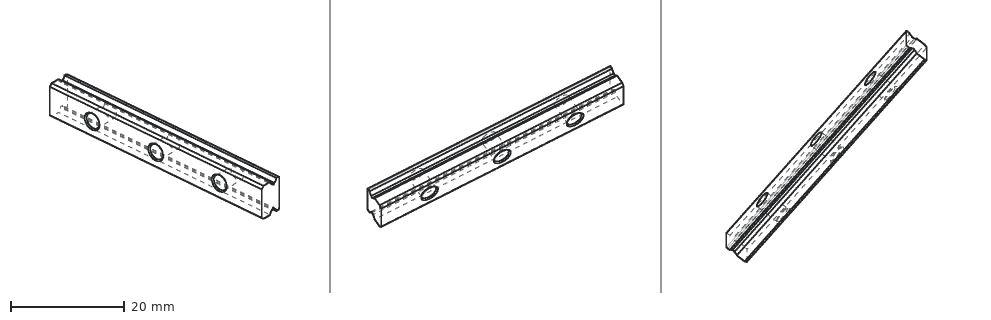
import cadquery as cq

rail_length = 50.0
rail_height = 4.7
rail_width = 7.0

crown_fillet = 0.3
base_chamfer = 0.5

raceway_radius = 0.8
raceway_from_crown = 1.6
relief_radius = 0.25
relief_depth = 1.05

hole_count = 3
hole_pitch = 15.0
hole_diameter = 3.0
countersink_diameter = 3.5
countersink_depth = (countersink_diameter - hole_diameter) / 2

base_y = -rail_height / 2
flank_z = rail_width / 2
raceway_y = rail_height / 2 - raceway_from_crown


def rail_body():
    """Solid bar centred on the origin, with its long edges rounded or chamfered."""
    return (
        cq.Workplane("XY")
        .box(rail_length, rail_height, rail_width)
        .edges("|X and >Y")
        .fillet(crown_fillet)
        .edges("|X and <Y")
        .chamfer(base_chamfer)
    )


def raceway_cutter(side):
    """Round ball groove with a small round relief at its bottom; side is +1 or -1 along Z."""
    relief_z = flank_z - relief_depth + relief_radius
    groove = (
        cq.Workplane("YZ")
        .center(raceway_y, side * flank_z)
        .circle(raceway_radius)
        .extrude(rail_length / 2, both=True)
    )
    relief = (
        cq.Workplane("YZ")
        .center(raceway_y, side * relief_z)
        .circle(relief_radius)
        .extrude(rail_length / 2, both=True)
    )
    return groove.union(relief)


def mounting_hole_cutter(x):
    """Through hole along Y with a 45 degree countersink at the base face."""
    base_plane = cq.Workplane("XZ", origin=(x, base_y, 0))
    bore = base_plane.circle(hole_diameter / 2).extrude(-rail_height)
    countersink = cq.Workplane(
        cq.Solid.makeCone(
            countersink_diameter / 2,
            hole_diameter / 2,
            countersink_depth,
            pnt=cq.Vector(x, base_y, 0),
            dir=cq.Vector(0, 1, 0),
        )
    )
    return bore.union(countersink)


result = rail_body()

for side in (-1, 1):
    result = result.cut(raceway_cutter(side))

for index in range(hole_count):
    hole_x = (index - (hole_count - 1) / 2) * hole_pitch
    result = result.cut(mounting_hole_cutter(hole_x))